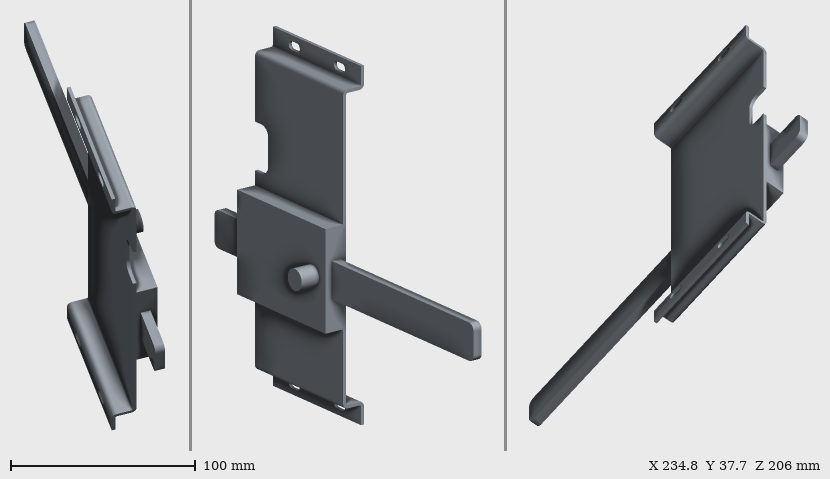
import cadquery as cq

PLATE_WIDTH = 80.0
PLATE_HEIGHT = 206.0
SHEET_THICKNESS = 2.0
PLATE_DEPTH = 14.0
FLANGE_HEIGHT = 11.5
BEND_INNER_RADIUS = 1.0
BEND_OUTER_RADIUS = BEND_INNER_RADIUS + SHEET_THICKNESS

SLOT_LENGTH = 10.0
SLOT_WIDTH = 5.0
SLOT_SPACING = 41.0
SLOT_END_DISTANCE = 6.0

NOTCH_DEPTH = 12.0
NOTCH_HEIGHT = 28.0
NOTCH_CENTER_Z = 37.0
NOTCH_RADIUS = 6.0

BLOCK_HEIGHT = 60.0
BLOCK_THICKNESS = 12.0
BLOCK_CENTER_Z = -15.5
BLOCK_REAR_Y = PLATE_DEPTH + BLOCK_THICKNESS

BAR_HEIGHT = 22.0
BAR_THICKNESS = 5.5
BAR_CENTER_Y = 19.25
BAR_LEFT_OVERHANG = 128.8
BAR_RIGHT_OVERHANG = 26.0
BAR_CORNER_RADIUS = 4.0

PIN_DIAMETER = 12.6
PIN_LENGTH = 11.7
PIN_EDGE_DISTANCE = 12.1


def round_bends(plate, corners, radius):
    """Fillet the edges along X at the given (y, z) corners and their mirror images below Z = 0."""
    reach = BEND_INNER_RADIUS / 2

    def is_bend(edge):
        center = edge.Center()
        return any(abs(center.y - y) < reach and abs(abs(center.z) - z) < reach for y, z in corners)

    return plate.edges("|X").filter(is_bend).fillet(radius)


def bent_plate():
    """Sheet profile in the YZ plane, extruded across the plate width."""
    half_height = PLATE_HEIGHT / 2
    web_outer_z = half_height - FLANGE_HEIGHT
    web_inner_z = web_outer_z - SHEET_THICKNESS
    plate_front_y = PLATE_DEPTH - SHEET_THICKNESS
    profile = [
        (SHEET_THICKNESS, half_height),
        (SHEET_THICKNESS, web_outer_z),
        (PLATE_DEPTH, web_outer_z),
        (PLATE_DEPTH, -web_outer_z),
        (SHEET_THICKNESS, -web_outer_z),
        (SHEET_THICKNESS, -half_height),
        (0, -half_height),
        (0, -web_inner_z),
        (plate_front_y, -web_inner_z),
        (plate_front_y, web_inner_z),
        (0, web_inner_z),
        (0, half_height),
    ]
    plate = cq.Workplane("YZ").polyline(profile).close().extrude(PLATE_WIDTH / 2, both=True)

    outer_corners = [(PLATE_DEPTH, web_outer_z), (0, web_inner_z)]
    inner_corners = [(SHEET_THICKNESS, web_outer_z), (plate_front_y, web_inner_z)]
    plate = round_bends(plate, outer_corners, BEND_OUTER_RADIUS)
    return round_bends(plate, inner_corners, BEND_INNER_RADIUS)


def flange_slots():
    """Cutters for the pair of slots in each flange."""
    slot_z = PLATE_HEIGHT / 2 - SLOT_END_DISTANCE
    slot_x = SLOT_SPACING / 2
    centers = [(x, z) for x in (-slot_x, slot_x) for z in (-slot_z, slot_z)]
    return (
        cq.Workplane("XZ")
        .pushPoints(centers)
        .slot2D(SLOT_LENGTH, SLOT_WIDTH)
        .extrude(-SHEET_THICKNESS)
    )


def edge_notch():
    """Cutter for the notch, rounded at its two inner corners."""
    return (
        cq.Workplane("XY")
        .box(NOTCH_DEPTH, PLATE_DEPTH, NOTCH_HEIGHT)
        .edges("|Y and <X")
        .fillet(NOTCH_RADIUS)
        .translate(((PLATE_WIDTH - NOTCH_DEPTH) / 2, PLATE_DEPTH / 2, NOTCH_CENTER_Z))
    )


def guide_block():
    """Block seated on the plate's rear face, sunk through the sheet for a solid joint."""
    depth = BLOCK_THICKNESS + SHEET_THICKNESS
    return cq.Workplane("XY").box(PLATE_WIDTH, depth, BLOCK_HEIGHT).translate(
        (0, BLOCK_REAR_Y - depth / 2, BLOCK_CENTER_Z)
    )


def flat_bar():
    """Bar with four rounded corners, centred on the block's height."""
    length = BAR_LEFT_OVERHANG + PLATE_WIDTH + BAR_RIGHT_OVERHANG
    center_x = (BAR_RIGHT_OVERHANG - BAR_LEFT_OVERHANG) / 2
    return (
        cq.Workplane("XY")
        .box(length, BAR_THICKNESS, BAR_HEIGHT)
        .edges("|Y")
        .fillet(BAR_CORNER_RADIUS)
        .translate((center_x, BAR_CENTER_Y, BLOCK_CENTER_Z))
    )


def pin():
    """Round pin pointing along +Y."""
    pin_x = PIN_EDGE_DISTANCE - PLATE_WIDTH / 2
    return (
        cq.Workplane("XZ", origin=(pin_x, BLOCK_REAR_Y, BLOCK_CENTER_Z))
        .circle(PIN_DIAMETER / 2)
        .extrude(-PIN_LENGTH)
    )


plate = bent_plate().cut(flange_slots()).cut(edge_notch())
result = plate.union(guide_block()).union(flat_bar()).union(pin())